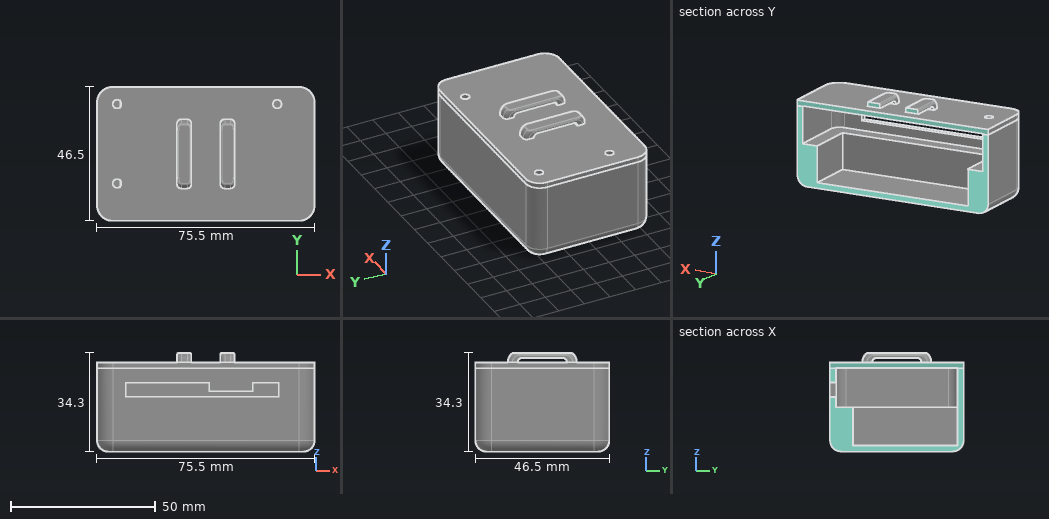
import cadquery as cq

length = 75.5
width = 46.5
case_height = 31.0
lid_thickness = 2.0
box_height = case_height - lid_thickness
corner_radius = 5.5
bottom_fillet = 4.0

wall = 2.25
floor_thickness = 2.25
cavity_length = length - 2 * wall
cavity_width = width - 2 * wall
cavity_corner_radius = corner_radius - wall
ledge_width = 5.85
ledge_z = 15.5

slot_left = -27.75
slot_length = 53.0
slot_bottom_z = 19.0
slot_height = 5.0
tab_offset = 29.0
tab_length = 15.0
tab_drop = 3.0

screw_diameter = 3.0
screw_left_x = -30.75
screw_right_x = 24.75
screw_front_y = -10.25
screw_back_y = 17.25
screw_points = [
    (screw_left_x, screw_back_y),
    (screw_left_x, screw_front_y),
    (screw_right_x, screw_back_y),
]

handle_spacing = 15.0
handle_length = 24.0
handle_width = 5.0
handle_height = 3.25
handle_end_radius = 4.0
handle_edge_fillet = 1.5
handle_rim_fillet = 0.5
leg_thickness = 3.5
finger_gap_height = 1.5


def rounded_block(size_x, size_y, z_bottom, z_top, radius):
    """Block centred on the Z axis with rounded vertical corners."""
    base = cq.Workplane("XY", origin=(0, 0, z_bottom))
    return base.rect(size_x, size_y).extrude(z_top - z_bottom).edges("|Z").fillet(radius)


def make_well():
    """Lower part of the cavity, leaving a ledge at the front, left and right."""
    well_length = cavity_length - 2 * ledge_width
    well_width = cavity_width - ledge_width
    well_height = ledge_z - floor_thickness
    well = cq.Workplane("XY").box(well_length, well_width, well_height, centered=(True, True, False))
    return well.translate((0, ledge_width / 2, floor_thickness))


def make_slot_cutter():
    """Prism with the slot's outline, as deep as the front wall."""
    slot_right = slot_left + slot_length
    slot_top_z = slot_bottom_z + slot_height
    tab_left = slot_left + tab_offset
    tab_right = tab_left + tab_length
    tab_z = slot_top_z - tab_drop
    outline = [
        (slot_left, slot_bottom_z),
        (slot_right, slot_bottom_z),
        (slot_right, slot_top_z),
        (tab_right, slot_top_z),
        (tab_right, tab_z),
        (tab_left, tab_z),
        (tab_left, slot_top_z),
        (slot_left, slot_top_z),
    ]
    front_face = cq.Workplane("XZ", origin=(0, -width / 2, 0))
    return front_face.polyline(outline).close().extrude(-wall)


def make_box():
    """Open box with a stepped cavity and a slot in the front wall."""
    shell = rounded_block(length, width, 0, box_height, corner_radius)
    shell = shell.faces("<Z").edges().fillet(bottom_fillet)
    cavity = rounded_block(cavity_length, cavity_width, ledge_z, box_height, cavity_corner_radius)
    return shell.cut(cavity).cut(make_well()).cut(make_slot_cutter())


def arched_bar(center_x, bar_length, end_radius):
    """Bar along Y on the lid, as high as the quarter rounds at its two ends."""
    half = bar_length / 2
    straight_half = half - end_radius
    return (
        cq.Workplane("YZ", origin=(center_x - handle_width / 2, 0, case_height))
        .moveTo(-half, 0)
        .radiusArc((-straight_half, end_radius), end_radius)
        .lineTo(straight_half, end_radius)
        .radiusArc((half, 0), end_radius)
        .close()
        .extrude(handle_width)
    )


def make_handle(center_x):
    """Rounded bar with a flat top and a finger gap beneath it."""
    bar = arched_bar(center_x, handle_length, handle_end_radius)
    bar = bar.faces("<X or >X").edges("not <Z").fillet(handle_edge_fillet)

    trim_height = handle_end_radius - handle_height
    trim = cq.Workplane("XY", origin=(center_x, 0, case_height + handle_height))
    trim = trim.rect(handle_width, handle_length).extrude(trim_height)
    bar = bar.cut(trim).faces(">Z").edges().fillet(handle_rim_fillet)

    finger_gap = arched_bar(center_x, handle_length - 2 * leg_thickness, finger_gap_height)
    return bar.cut(finger_gap)


def make_lid():
    """Flat lid with three screw holes and two handles."""
    plate = rounded_block(length, width, box_height, case_height, corner_radius)
    holes = cq.Workplane("XY", origin=(0, 0, box_height)).pushPoints(screw_points)
    plate = plate.cut(holes.circle(screw_diameter / 2).extrude(lid_thickness))
    for side in (-1, 1):
        plate = plate.union(make_handle(side * handle_spacing / 2))
    return plate


box = make_box()
lid = make_lid()
result = cq.Compound.makeCompound([box.solids().val(), lid.solids().val()])